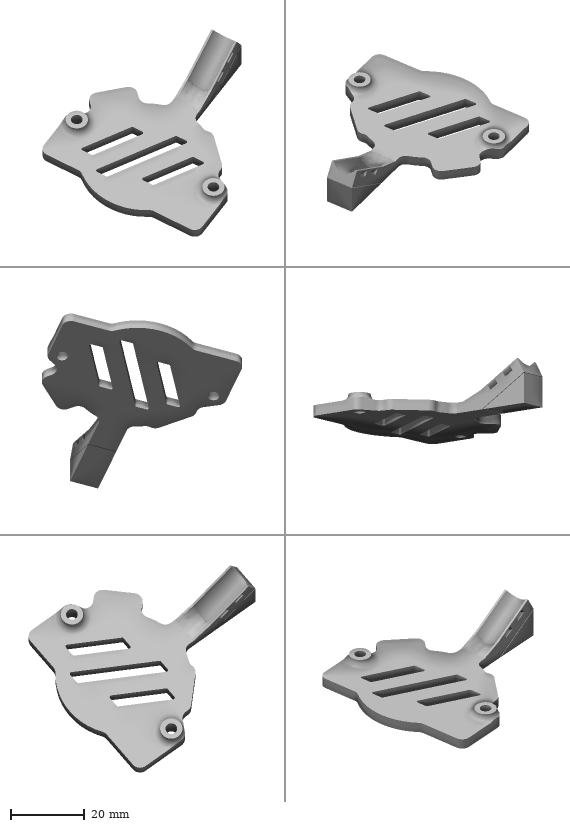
import cadquery as cq
import math


plate_thickness = 3.0
plate_width = 51.55
plate_half_width = plate_width / 2
disc_radius = 18.4
disc_center_y = 0.4
lower_left_y = -13.25
lower_right_y = -14.35
shoulder_y = 1.95
shoulder_slope = math.tan(math.radians(30))
right_neck_x = 19.6
ear_tip = (-15.45, 19.75)
ear_edge_length = 13.4
right_chamfer_sum = 28.2
right_bump_y = 17.05
right_notch_y = 16.6
corner_radius = 2.45

vent_width = 4.1
vent_angle = 60
vent_corner_radius = 0.5
vents = [
    (-10.65, 0.2, 14.05),
    (-1.1, -0.05, 21.95),
    (8.85, 0.2, 14.05),
]

boss_x = 21.95
boss_height = 5.0
boss_top_radius = 3.05
boss_hole_diameter = 3.2

arm_width = 8.1
arm_angle = 30
arm_depth = 4.9
arm_end_y = 43.15
ramp_start_y = 21.75
incline_start_y = 27.9
arm_height = 12.8
groove_width = 6.9
groove_depth = 1.95
ramp_end_depth = 0.03

tie_width = 3.0
tie_inner_radius = 4.75
tie_outer_radius = 5.75
tie_distances = (4.5, 10.5)

support_gap = 0.2

arm_sin = math.sin(math.radians(arm_angle))
arm_cos = math.cos(math.radians(arm_angle))
arm_slope = arm_sin / arm_cos
arm_tip_y = arm_end_y - arm_depth * arm_sin
arm_heel_z = arm_height - arm_depth * arm_cos
arm_heel_y = arm_end_y - arm_heel_z / arm_slope
incline_start_z = arm_height - (arm_tip_y - incline_start_y) * arm_slope
groove_radius = ((groove_width / 2) ** 2 + groove_depth ** 2) / (2 * groove_depth)
groove_axis_offset = groove_radius - groove_depth
disc_bottom = (0, disc_center_y - disc_radius)

arm_frame = cq.Plane(origin=(0, arm_tip_y, arm_height), xDir=(1, 0, 0), normal=(0, -arm_cos, -arm_sin))


def disc_x(y):
    """Half width of the disc at height y."""
    return math.sqrt(disc_radius ** 2 - (y - disc_center_y) ** 2)


def disc_y(x):
    """Upper edge of the disc at x."""
    return disc_center_y + math.sqrt(disc_radius ** 2 - x ** 2)


def shoulder_edge_y(x):
    """Height of the sloped shoulder edge at x."""
    return shoulder_y + (plate_half_width - abs(x)) * shoulder_slope


def make_outline(height):
    """Upright block with the rounded plate outline, arm root included."""
    ear_step = ear_edge_length / math.sqrt(2)
    ear_left = (ear_tip[0] - ear_step, ear_tip[1] - ear_step)
    left_neck_x = (sum(ear_left) - shoulder_edge_y(0)) / (1 + shoulder_slope)
    left_neck = (left_neck_x, shoulder_edge_y(left_neck_x))
    edge_sum = ear_tip[0] + ear_tip[1] - disc_center_y
    ear_root_x = (edge_sum - math.sqrt(2 * disc_radius ** 2 - edge_sum ** 2)) / 2
    ear_root = (ear_root_x, disc_y(ear_root_x))

    half_arm = arm_width / 2
    arm_left = (-half_arm, disc_y(half_arm))
    arm_right = (half_arm, disc_y(half_arm))
    ear_arc_x = (ear_root_x - half_arm) / 2
    notch = (disc_x(right_notch_y), right_notch_y)
    notch_arc_x = (half_arm + notch[0]) / 2
    bump = (right_chamfer_sum - right_bump_y, right_bump_y)

    disc_left = (-disc_x(lower_left_y), lower_left_y)
    disc_right = (disc_x(lower_right_y), lower_right_y)
    lower_left = (-plate_half_width, lower_left_y)
    lower_right = (plate_half_width, lower_right_y)
    shoulder_left = (-plate_half_width, shoulder_y)
    shoulder_right = (plate_half_width, shoulder_y)
    right_neck_low = (right_neck_x, shoulder_edge_y(right_neck_x))
    right_neck_high = (right_neck_x, right_chamfer_sum - right_neck_x)

    plate = (
        cq.Workplane("XY")
        .moveTo(*disc_left)
        .lineTo(*lower_left)
        .lineTo(*shoulder_left)
        .lineTo(*left_neck)
        .lineTo(*ear_left)
        .lineTo(*ear_tip)
        .lineTo(*ear_root)
        .threePointArc((ear_arc_x, disc_y(ear_arc_x)), arm_left)
        .lineTo(-half_arm, ramp_start_y)
        .lineTo(half_arm, ramp_start_y)
        .lineTo(*arm_right)
        .threePointArc((notch_arc_x, disc_y(notch_arc_x)), notch)
        .lineTo(*bump)
        .lineTo(*right_neck_high)
        .lineTo(*right_neck_low)
        .lineTo(*shoulder_right)
        .lineTo(*lower_right)
        .lineTo(*disc_right)
        .threePointArc(disc_bottom, disc_left)
        .close()
        .extrude(height)
    )
    rounded_corners = [
        lower_left, shoulder_left, left_neck, ear_left, ear_tip, ear_root, arm_left,
        arm_right, notch, bump, right_neck_high, right_neck_low, shoulder_right, lower_right,
        disc_left, disc_right,
    ]
    for x, y in rounded_corners:
        edge = cq.selectors.NearestToPointSelector((x, y, height / 2))
        plate = plate.edges("|Z").edges(edge).fillet(corner_radius)
    return plate


def make_vent(x, y, height):
    """Slanted through slot, as a cutter."""
    lean = height / math.tan(math.radians(vent_angle)) / 2
    half_width = vent_width / 2
    half_height = height / 2
    return (
        cq.Workplane("XY")
        .polyline([
            (x - lean - half_width, y - half_height),
            (x - lean + half_width, y - half_height),
            (x + lean + half_width, y + half_height),
            (x + lean - half_width, y + half_height),
        ])
        .close()
        .extrude(plate_thickness)
        .edges("|Z")
        .fillet(vent_corner_radius)
    )


def make_boss(x):
    """Screw boss with a flared foot, standing on the plate."""
    flare = boss_height - plate_thickness
    foot_radius = boss_top_radius + flare
    sagitta = flare * (1 - math.sqrt(0.5))
    profile = (
        cq.Workplane("XZ")
        .lineTo(foot_radius, 0)
        .lineTo(foot_radius, plate_thickness)
        .threePointArc(
            (boss_top_radius + sagitta, plate_thickness + sagitta),
            (boss_top_radius, boss_height),
        )
        .lineTo(0, boss_height)
        .close()
    )
    return profile.revolve(360, (0, 0, 0), (0, 1, 0)).translate((x, 0, 0))


def side_extrusion(points):
    """Extrude a (y, z) outline across the arm width."""
    return cq.Workplane("YZ").polyline(points).close().extrude(arm_width / 2, both=True)


def groove_section(y, z, depth):
    """Flat-topped circular segment across the arm, in a plane of constant y."""
    half = groove_width / 2
    return (
        cq.Workplane("XZ", origin=(0, y, z))
        .moveTo(-half, 0)
        .threePointArc((0, -depth), (half, 0))
        .close()
        .wires()
        .val()
    )


def make_groove():
    """Round cable groove down the incline, fading out along the ramp."""
    incline = (
        cq.Workplane(arm_frame)
        .center(0, groove_axis_offset)
        .circle(groove_radius)
        .extrude(arm_height / arm_sin)
    )
    beyond_ramp = cq.Workplane("XY").box(
        2 * groove_radius, arm_end_y - incline_start_y, 2 * arm_height, centered=(True, False, True)
    ).translate((0, incline_start_y, arm_height / 2))
    fade = cq.Solid.makeLoft([
        groove_section(incline_start_y, incline_start_z, groove_depth / arm_cos),
        groove_section(ramp_start_y, plate_thickness, ramp_end_depth),
    ], True)
    return incline.intersect(beyond_ramp).union(cq.Workplane(fade))


def make_tie_slot(distance):
    """Ring around the groove axis for a cable tie, passing under the groove."""
    return (
        cq.Workplane(arm_frame)
        .center(0, groove_axis_offset)
        .workplane(offset=distance - tie_width / 2)
        .circle(tie_outer_radius)
        .circle(tie_inner_radius)
        .extrude(tie_width)
    )


def make_arm():
    """Ramp and inclined length with its cable groove and tie slots."""
    arm = side_extrusion([
        (ramp_start_y, 0),
        (arm_heel_y, 0),
        (arm_end_y, arm_heel_z),
        (arm_tip_y, arm_height),
        (incline_start_y, incline_start_z),
        (ramp_start_y, plate_thickness),
    ])
    arm = arm.cut(make_groove())
    for distance in tie_distances:
        arm = arm.cut(make_tie_slot(distance))
    return arm


def make_cover():
    """Slotted plate with its bosses and cable arm."""
    cover = make_outline(plate_thickness)
    column = make_outline(boss_height)
    for x in (-boss_x, boss_x):
        cover = cover.union(make_boss(x).intersect(column))
    for x in (-boss_x, boss_x):
        hole = cq.Workplane("XY").center(x, 0).circle(boss_hole_diameter / 2).extrude(boss_height)
        cover = cover.cut(hole)
    for x, y, height in vents:
        cover = cover.cut(make_vent(x, y, height))
    return cover.union(make_arm())


def make_support():
    """Wedge standing under the inclined arm, clear of it by the gap."""
    top_z = arm_heel_z - support_gap
    return side_extrusion([
        (arm_end_y - top_z / arm_slope, 0),
        (arm_end_y, 0),
        (arm_end_y, top_z),
    ])


cover = make_cover()
support = make_support()
result = cq.Compound.makeCompound([cover.solids().val(), support.val()])